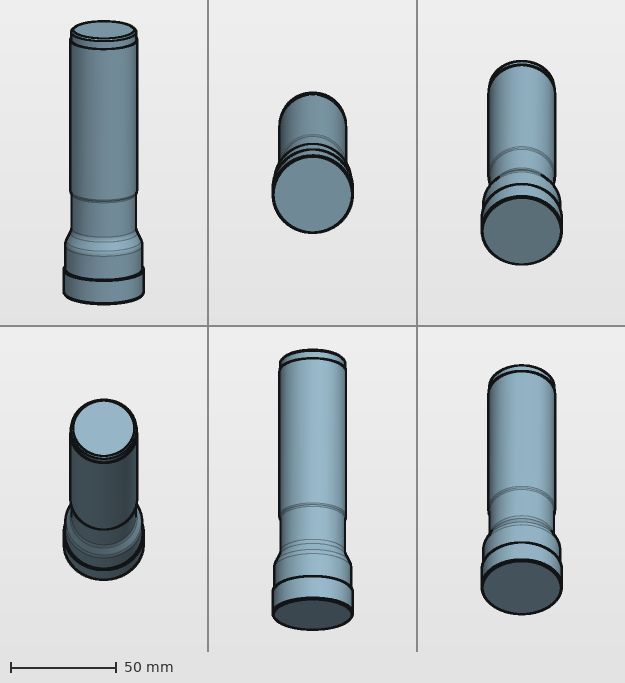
import cadquery as cq

total_height = 130.2

base_diameter = 38.1
base_radius = base_diameter / 2
head_radius = 18.4
neck_radius = 15.4
grip_radius = 15.9
cap_radius = 15.5

base_height = 12.1
base_bottom_chamfer_height = 0.8
base_bottom_chamfer_width = 0.5
base_top_chamfer = 0.4

shoulder_bottom = 23.7
shoulder_top = 32.3
blend_height = 2.3

grip_step_bottom = 49.2
grip_step_top = 50.8

cap_height = 5.0
cap_chamfer = 1.0

grip_top = total_height - cap_height

cone_height = shoulder_top - shoulder_bottom - 2 * blend_height
shoulder_slope = (head_radius - neck_radius) / (cone_height + blend_height)
cone_shift = cone_height * shoulder_slope
blend_shift = (head_radius - neck_radius - cone_shift) / 2


def make_body():
    """Revolve the base, head, shoulder, neck and grip as one solid."""
    step_middle_radius = (neck_radius + grip_radius) / 2
    step_middle_height = (grip_step_bottom + grip_step_top) / 2
    return (
        cq.Workplane("XZ")
        .moveTo(0, 0)
        .lineTo(base_radius - base_bottom_chamfer_width, 0)
        .lineTo(base_radius, base_bottom_chamfer_height)
        .lineTo(base_radius, base_height - base_top_chamfer)
        .lineTo(base_radius - base_top_chamfer, base_height)
        .lineTo(head_radius, base_height)
        .lineTo(head_radius, shoulder_bottom)
        .tangentArcPoint((head_radius - blend_shift, shoulder_bottom + blend_height), relative=False)
        .lineTo(neck_radius + blend_shift, shoulder_top - blend_height)
        .tangentArcPoint((neck_radius, shoulder_top), relative=False)
        .lineTo(neck_radius, grip_step_bottom)
        .tangentArcPoint((step_middle_radius, step_middle_height), relative=False)
        .tangentArcPoint((grip_radius, grip_step_top), relative=False)
        .lineTo(grip_radius, grip_top)
        .lineTo(0, grip_top)
        .close()
        .revolve(360, (0, 0, 0), (0, 1, 0))
    )


def make_cap():
    """Revolve the chamfered disc that closes the top of the grip."""
    return (
        cq.Workplane("XZ")
        .moveTo(0, grip_top)
        .lineTo(cap_radius, grip_top)
        .lineTo(cap_radius, total_height - cap_chamfer)
        .lineTo(cap_radius - cap_chamfer, total_height)
        .lineTo(0, total_height)
        .close()
        .revolve(360, (0, 0, 0), (0, 1, 0))
    )


body = make_body()
cap = make_cap()

result = cq.Compound.makeCompound([body.val(), cap.val()])